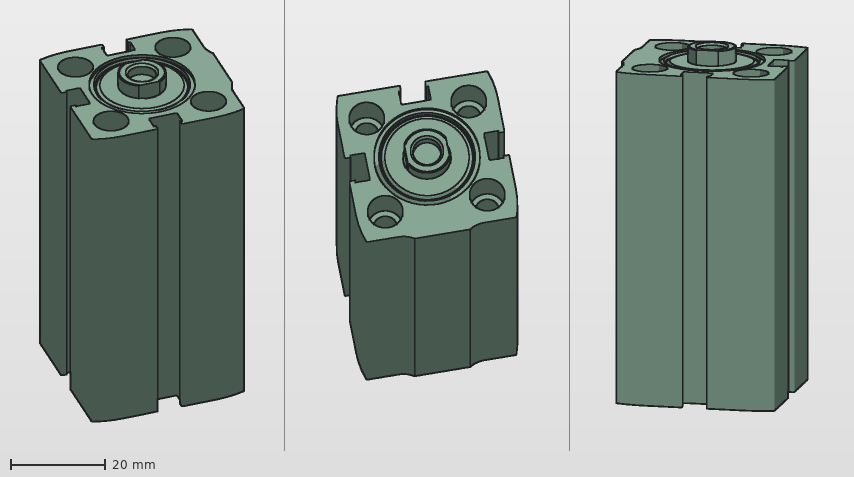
import cadquery as cq
import math

half_width = 17.25
body_height = 72.0
pad_rise = 1.0
pad_half_width = 6.0
pad_foot_half_width = 9.2
side_flat_half = 10.75
side_arc_radius = 20.0
corner_radius = 0.5

slot_angles = (0, 90, -90)
slot_depth = 4.4
slot_half_width = 3.2
slot_opening_half = 2.7
slot_lip = 1.25
slot_floor_radius = 0.4
slot_lip_radius = 0.3

hole_offset = 11.0
counterbore_diameter = 7.5
counterbore_depth = 8.0
hole_diameter = 5.0
hole_depth = 20.0

recess_radius = 11.25
crest_radius = 10.25
crest_recess = 0.1
outer_cone_drop = 0.6
groove_outer_radius = 10.0
groove_inner_radius = 9.7
cap_edge_radius = 9.2
cap_face_radius = 8.95
cap_edge_drop = 0.1
cap_recess = 0.25
inner_cone_drop = 0.35
crest_z = body_height - crest_recess
cap_face_z = body_height - cap_recess

rod_radius = 5.1
rod_stickout = 3.0
rod_engagement = 12.0
rod_bevel_width = 0.3
rod_bevel_height = 0.1
flat_half_width = 4.5
flat_foot_depth = 0.5
flat_slope = 45
socket_radius = 3.0
socket_depth = 2.5
socket_chamfer = 0.5
rod_top_z = body_height + rod_stickout
rod_bottom_z = body_height - rod_engagement


def make_profile():
    """Square section with arched X sides and a raised pad on the +Y side."""
    arc_height = half_width - side_flat_half
    corner_x = half_width - side_arc_radius + math.sqrt(side_arc_radius**2 - arc_height**2)
    pad_y = half_width + pad_rise
    foot_run = pad_foot_half_width - pad_half_width
    foot_radius = (foot_run**2 + pad_rise**2) / (2 * pad_rise)
    profile = (
        cq.Workplane("XY")
        .moveTo(-corner_x, -half_width)
        .lineTo(corner_x, -half_width)
        .radiusArc((half_width, -side_flat_half), -side_arc_radius)
        .lineTo(half_width, side_flat_half)
        .radiusArc((corner_x, half_width), -side_arc_radius)
        .lineTo(pad_foot_half_width, half_width)
        .radiusArc((pad_half_width, pad_y), foot_radius)
        .lineTo(-pad_half_width, pad_y)
        .radiusArc((-pad_foot_half_width, half_width), foot_radius)
        .lineTo(-corner_x, half_width)
        .radiusArc((-half_width, side_flat_half), -side_arc_radius)
        .lineTo(-half_width, -side_flat_half)
        .radiusArc((-corner_x, -half_width), -side_arc_radius)
        .close()
        .extrude(body_height)
    )
    corners = [(x, y, body_height / 2) for x in (-corner_x, corner_x) for y in (-half_width, half_width)]
    for corner in corners:
        profile = profile.edges(cq.NearestToPointSelector(corner)).fillet(corner_radius)
    return profile


def make_slot():
    """Cutter for the T-slot on the -Y side, flaring at the rounded lips."""
    outer_y = -half_width
    lip_y = outer_y + slot_lip
    floor_y = outer_y + slot_depth
    mouth_half = slot_opening_half + slot_lip_radius
    round_y = outer_y + slot_lip_radius
    return (
        cq.Workplane("XY")
        .moveTo(-mouth_half, outer_y)
        .radiusArc((-slot_opening_half, round_y), -slot_lip_radius)
        .lineTo(-slot_opening_half, lip_y)
        .lineTo(-slot_half_width, lip_y)
        .lineTo(-slot_half_width, floor_y)
        .lineTo(slot_half_width, floor_y)
        .lineTo(slot_half_width, lip_y)
        .lineTo(slot_opening_half, lip_y)
        .lineTo(slot_opening_half, round_y)
        .radiusArc((mouth_half, outer_y), -slot_lip_radius)
        .close()
        .extrude(body_height)
        .edges("|Z and >Y")
        .fillet(slot_floor_radius)
    )


def make_mounting_holes():
    """Cutter for the blind counterbored holes, sunk from the housing top."""
    top = (
        cq.Workplane("XY")
        .workplane(offset=body_height)
        .rect(2 * hole_offset, 2 * hole_offset, forConstruction=True)
        .vertices()
    )
    counterbores = top.circle(counterbore_diameter / 2).extrude(-counterbore_depth)
    bores = top.circle(hole_diameter / 2).extrude(-hole_depth)
    return counterbores.union(bores)


def make_cap_relief():
    """Cutter that leaves the coned rim and the flat face of the bearing cap."""
    groove_z = cap_face_z - cap_edge_drop - inner_cone_drop
    return (
        cq.Workplane("XZ")
        .moveTo(0, body_height)
        .lineTo(recess_radius, body_height)
        .lineTo(recess_radius, crest_z - outer_cone_drop)
        .lineTo(crest_radius, crest_z)
        .lineTo(groove_outer_radius, groove_z)
        .lineTo(groove_inner_radius, groove_z)
        .lineTo(cap_edge_radius, cap_face_z - cap_edge_drop)
        .lineTo(cap_face_radius, cap_face_z)
        .lineTo(0, cap_face_z)
        .close()
        .revolve(360, (0, 0, 0), (0, 1, 0))
    )


def make_housing():
    housing = make_profile()
    for angle in slot_angles:
        housing = housing.cut(make_slot().rotate((0, 0, 0), (0, 0, 1), angle))
    rod_bore = (
        cq.Workplane("XY")
        .workplane(offset=rod_bottom_z)
        .circle(rod_radius)
        .extrude(rod_engagement)
    )
    return housing.cut(make_mounting_holes()).cut(make_cap_relief()).cut(rod_bore)


def make_wrench_flat():
    """Cutter for the +X flat, with a sloped shoulder below the cap face."""
    foot_z = cap_face_z - flat_foot_depth
    run_out = (rod_radius - flat_half_width) * math.tan(math.radians(flat_slope))
    return (
        cq.Workplane("XZ")
        .moveTo(flat_half_width, rod_top_z)
        .lineTo(flat_half_width, foot_z)
        .lineTo(rod_radius, foot_z - run_out)
        .lineTo(rod_radius, rod_top_z)
        .close()
        .extrude(rod_radius, both=True)
    )


def make_rod():
    """Turned rod with a bevelled end and a chamfered socket, then two wrench flats."""
    rod = (
        cq.Workplane("XZ")
        .moveTo(0, rod_bottom_z)
        .lineTo(rod_radius, rod_bottom_z)
        .lineTo(rod_radius, rod_top_z - rod_bevel_height)
        .lineTo(rod_radius - rod_bevel_width, rod_top_z)
        .lineTo(socket_radius + socket_chamfer, rod_top_z)
        .lineTo(socket_radius, rod_top_z - socket_chamfer)
        .lineTo(socket_radius, rod_top_z - socket_depth)
        .lineTo(0, rod_top_z - socket_depth)
        .close()
        .revolve(360, (0, 0, 0), (0, 1, 0))
    )
    for angle in (0, 180):
        rod = rod.cut(make_wrench_flat().rotate((0, 0, 0), (0, 0, 1), angle))
    return rod


housing = make_housing()
rod = make_rod()
result = cq.Compound.makeCompound([housing.val(), rod.val()])